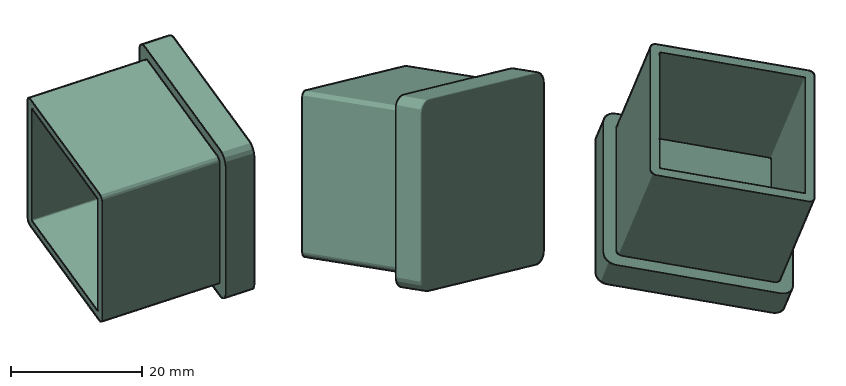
import cadquery as cq


overall_depth = 25.0

cap_side = 30.0
cap_thickness = 5.0
cap_edge_radius = 0.25

insert_side = 26.0
insert_length = overall_depth - cap_thickness
insert_corner_radius = 1.0

cap_corner_radius = (cap_side - insert_side) / 2

wall_thickness = 1.5
cavity_side = insert_side - 2 * wall_thickness
cavity_corner_radius = 0.25


def rounded_square_bar(side, start_y, length, corner_radius):
    """Square bar centred on the Y axis, running from start_y toward +Y, with rounded long edges."""
    bar = cq.Workplane("XZ", origin=(0, start_y, 0)).rect(side, side).extrude(-length)
    return bar.edges("|Y").fillet(corner_radius)


def make_cap():
    """Cap with its outer rim rounded over."""
    cap = rounded_square_bar(cap_side, insert_length, cap_thickness, cap_corner_radius)
    return cap.faces(">Y").edges().fillet(cap_edge_radius)


insert = rounded_square_bar(insert_side, 0, insert_length, insert_corner_radius)
cavity = rounded_square_bar(cavity_side, 0, insert_length, cavity_corner_radius)

result = make_cap().union(insert).cut(cavity)